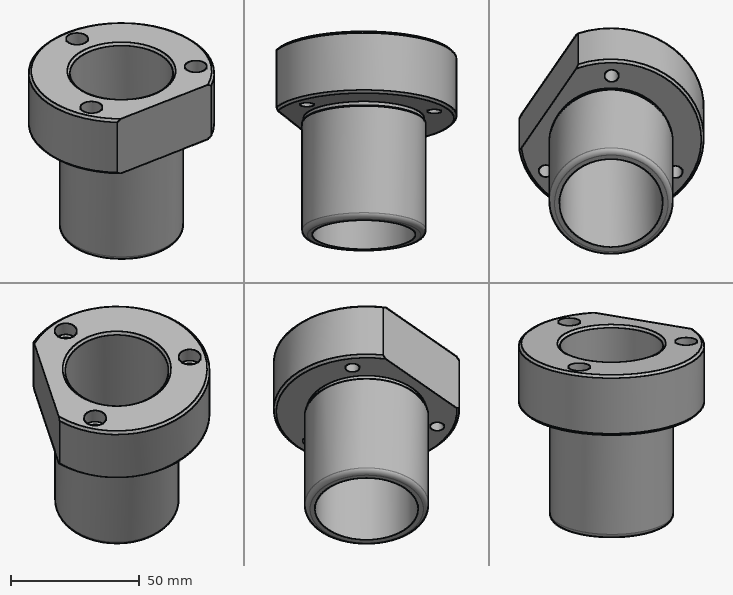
import cadquery as cq

total_height = 72.0
flange_diameter = 72.0
flange_height = 25.0
flat_offset = 28.0
flange_chamfer = 1.0

shank_diameter = 48.0
shank_fillet = 2.0
shank_top_chamfer = 0.6
groove_diameter = shank_diameter - 2 * shank_top_chamfer
groove_height = 1.45

bore_diameter = 40.0
bore_chamfer = 1.0

screw_circle_radius = 29.0
screw_angles = (60, 180, 300)
screw_hole_diameter = 5.5
counterbore_diameter = 8.6
counterbore_depth = 6.0

flange_bottom = total_height - flange_height
shank_height = flange_bottom - groove_height


def cylinder(diameter, bottom, height):
    return cq.Workplane("XY").workplane(offset=bottom).circle(diameter / 2).extrude(height)


def make_flange():
    """Round head with chamfered rims and one flat cut across the +X side."""
    flange = cylinder(flange_diameter, flange_bottom, flange_height)
    flange = flange.faces("<Z or >Z").edges().chamfer(flange_chamfer)
    beyond_flat = (
        cq.Workplane("XY")
        .box(flange_diameter, flange_diameter, flange_height, centered=(False, True, False))
        .translate((flat_offset, 0, flange_bottom))
    )
    return flange.cut(beyond_flat)


def make_shank():
    """Cylinder with a rounded base and a chamfer tapering up to the groove."""
    shank = cylinder(shank_diameter, 0, shank_height)
    shank = shank.faces("<Z").edges().fillet(shank_fillet)
    return shank.faces(">Z").edges().chamfer(shank_top_chamfer)


def cut_bore(body):
    """Through bore, chamfered at the top rim."""
    body = body.cut(cylinder(bore_diameter, 0, total_height))
    rim = cq.selectors.RadiusNthSelector(0)
    return body.faces(">Z").edges("%CIRCLE").edges(rim).chamfer(bore_chamfer)


def cut_screw_holes(body):
    """Screw holes through the flange, counterbored from the top."""
    for angle in screw_angles:
        hole = cylinder(screw_hole_diameter, flange_bottom, flange_height)
        counterbore = cylinder(
            counterbore_diameter, total_height - counterbore_depth, counterbore_depth
        )
        cutter = hole.union(counterbore).translate((screw_circle_radius, 0, 0))
        body = body.cut(cutter.rotate((0, 0, 0), (0, 0, 1), angle))
    return body


groove_core = cylinder(groove_diameter, shank_height, groove_height)
body = make_shank().union(groove_core).union(make_flange())
result = cut_screw_holes(cut_bore(body))